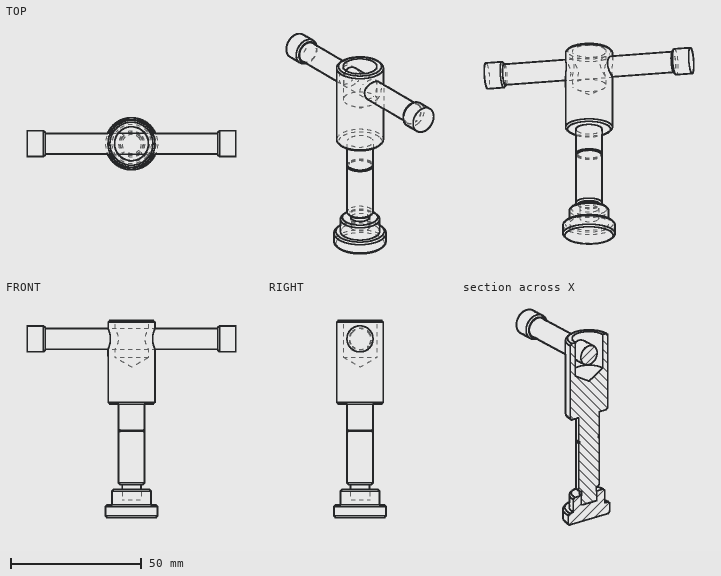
import cadquery as cq

chamfer = 0.75
flange_diameter = 20.0
flange_height = 5.0
hub_diameter = 15.0
hub_height = 6.0
pad_height = flange_height + hub_height

neck_diameter = 7.3
neck_length = 1.6
neck_socket_depth = 4.0
shank_diameter = 10.0
shank_length = 31.0
groove_depth = 0.5
groove_width = 0.5
groove_below_head = 10.0
head_diameter = 18.0
head_length = 32.0
bore_diameter = 13.0
bore_depth = 14.0
drill_point_depth = 3.8

shank_bottom = pad_height + neck_length
head_bottom = shank_bottom + shank_length
head_top = head_bottom + head_length

bar_length = 80.0
bar_diameter = 8.0
bar_below_top = 7.0
knob_diameter = 10.0
knob_length = 7.0
bar_height = head_top - bar_below_top


def cylinder(diameter, bottom, height):
    """Upright cylinder on the Z axis."""
    return cq.Workplane("XY").workplane(offset=bottom).circle(diameter / 2).extrude(height)


def make_pad():
    """Stepped foot pad with a blind socket for the spindle neck."""
    flange = cylinder(flange_diameter, 0, flange_height).edges().chamfer(chamfer)
    hub = cylinder(hub_diameter, flange_height, hub_height).faces(">Z").edges().chamfer(chamfer)
    socket = cylinder(neck_diameter, pad_height - neck_socket_depth, neck_socket_depth)
    return flange.union(hub).cut(socket)


def make_head_bore():
    """Blind bore with a conical drill point, open at the top of the head."""
    bore_radius = bore_diameter / 2
    bore_bottom = head_top - bore_depth
    return (
        cq.Workplane("XZ")
        .moveTo(0, head_top)
        .lineTo(bore_radius, head_top)
        .lineTo(bore_radius, bore_bottom)
        .lineTo(0, bore_bottom - drill_point_depth)
        .close()
        .revolve(360, (0, 0), (0, 1))
    )


def make_bar_rod():
    """Plain rod along X that carries the knobs and fills the cross hole."""
    return (
        cq.Workplane("YZ", origin=(-bar_length / 2, 0, bar_height))
        .circle(bar_diameter / 2)
        .extrude(bar_length)
    )


def make_spindle():
    """Neck, grooved shank and cross-drilled hollow head in one piece."""
    neck = cylinder(neck_diameter, pad_height - neck_socket_depth, neck_socket_depth + neck_length)
    shank = cylinder(shank_diameter, shank_bottom, shank_length).faces("<Z").edges().chamfer(chamfer)
    groove_bottom = head_bottom - groove_below_head - groove_width
    groove = cylinder(shank_diameter, groove_bottom, groove_width).cut(
        cylinder(shank_diameter - 2 * groove_depth, groove_bottom, groove_width)
    )
    head = cylinder(head_diameter, head_bottom, head_length).edges().chamfer(chamfer)
    return neck.union(shank.cut(groove)).union(head).cut(make_head_bore()).cut(make_bar_rod())


def make_bar():
    """Cross bar with a knob on each end, chamfered on its inner rim."""
    bar = make_bar_rod()
    for side in (-1, 1):
        knob = (
            cq.Workplane("YZ", origin=(side * bar_length / 2, 0, bar_height))
            .circle(knob_diameter / 2)
            .extrude(-side * knob_length)
        )
        inner_face = "<X" if side > 0 else ">X"
        bar = bar.union(knob.faces(inner_face).edges().chamfer(chamfer))
    return bar


pad = make_pad()
spindle = make_spindle()
bar = make_bar()

result = cq.Compound.makeCompound([pad.val(), spindle.val(), bar.val()])